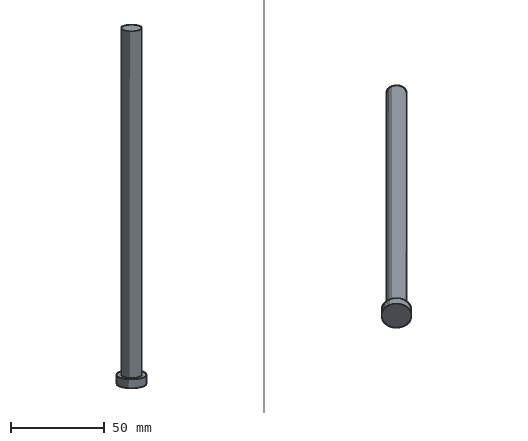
import cadquery as cq

total_length = 200.0
head_diameter = 16.0
head_height = 5.0
shaft_diameter = 11.0

head = cq.Workplane("XY").circle(head_diameter / 2).extrude(head_height)
shaft = cq.Workplane("XY").circle(shaft_diameter / 2).extrude(total_length)

result = head.union(shaft)